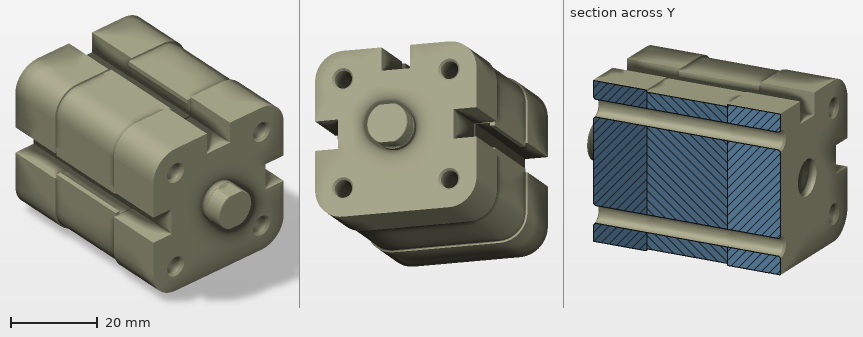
import cadquery as cq

TOTAL_LENGTH = 55.0
CAP_LENGTH = 14.0
BARREL_LENGTH = 20.95
CAP_WIDTH = 39.5
BARREL_WIDTH = 38.5

HOLE_PITCH = 26.0
HOLE_DIAMETER = 4.25
HOLE_CHAMFER = 0.5

CAP_SLOT_WIDTH = 7.0
CAP_SLOT_DEPTH = 5.55
GROOVE_WIDTH = 6.7
GROOVE_DEPTH = 4.75
GROOVE_MOUTH_WIDTH = 5.2
LIP_THICKNESS = 1.2
SLOT_ANGLES = (-90, 0, 90)

RECESS_DIAMETER = 9.0
RECESS_DEPTH = 2.0

ROD_DIAMETER = 10.0
TIP_DIAMETER = 9.85
COLLAR_LENGTH = 1.55
FLAT_DISTANCE = 9.0
FLAT_RUNOUT = 0.4
ROD_END_CHAMFER = 0.15

BARREL_START = -TOTAL_LENGTH / 2 + CAP_LENGTH
BARREL_END = BARREL_START + BARREL_LENGTH
REAR_FACE = BARREL_START - CAP_LENGTH
FRONT_FACE = BARREL_END + CAP_LENGTH
TIP_START = FRONT_FACE + COLLAR_LENGTH
ROD_END = REAR_FACE + TOTAL_LENGTH


def plane_at(x):
    """YZ plane at station x, with local axes along +Y and +Z."""
    return cq.Workplane("YZ", origin=(x, 0, 0))


def square_block(start, length, width):
    """Square block along X, its corners rounded about the screw hole centres."""
    corner_radius = (width - HOLE_PITCH) / 2
    block = plane_at(start).rect(width, width).extrude(length)
    return block.edges("|X").fillet(corner_radius)


def screw_holes(start, length):
    """Four cylinders that cut the corner screw holes."""
    centres = plane_at(start).rect(HOLE_PITCH, HOLE_PITCH, forConstruction=True).vertices()
    return centres.circle(HOLE_DIAMETER / 2).extrude(length)


def cut_slots(body, start, length, slot_width, top, bottom):
    """Cut a rectangular channel between two distances from the axis on each slotted side."""
    channel = (
        plane_at(start)
        .center(0, (top + bottom) / 2)
        .rect(slot_width, top - bottom)
        .extrude(length)
    )
    for angle in SLOT_ANGLES:
        body = body.cut(channel.rotate((0, 0, 0), (1, 0, 0), angle))
    return body


def make_cap(start, outer_face):
    """End cap with slots and with screw holes chamfered at its outer face."""
    cap = square_block(start, CAP_LENGTH, CAP_WIDTH).cut(screw_holes(start, CAP_LENGTH))
    hole_rims = cap.faces(outer_face).edges(cq.selectors.RadiusNthSelector(0))
    cap = hole_rims.chamfer(HOLE_CHAMFER)
    side = CAP_WIDTH / 2
    return cut_slots(cap, start, CAP_LENGTH, CAP_SLOT_WIDTH, side, side - CAP_SLOT_DEPTH)


def make_rear_cap():
    recess = plane_at(REAR_FACE).circle(RECESS_DIAMETER / 2).extrude(RECESS_DEPTH)
    return make_cap(REAR_FACE, "<X").cut(recess)


def make_front_cap():
    rod_bore = plane_at(BARREL_END).circle(ROD_DIAMETER / 2).extrude(CAP_LENGTH)
    return make_cap(BARREL_END, ">X").cut(rod_bore)


def make_barrel():
    """Barrel with undercut grooves whose mouths are narrowed by lips."""
    barrel = square_block(BARREL_START, BARREL_LENGTH, BARREL_WIDTH)
    barrel = barrel.cut(screw_holes(BARREL_START, BARREL_LENGTH))
    side = BARREL_WIDTH / 2
    lip_bottom = side - LIP_THICKNESS
    groove_floor = side - GROOVE_DEPTH
    barrel = cut_slots(barrel, BARREL_START, BARREL_LENGTH, GROOVE_MOUTH_WIDTH, side, lip_bottom)
    return cut_slots(barrel, BARREL_START, BARREL_LENGTH, GROOVE_WIDTH, lip_bottom, groove_floor)


def make_rod():
    """Rod that runs from the barrel through the front cap and ends in a flatted tip."""
    shank = plane_at(BARREL_END).circle(ROD_DIAMETER / 2).extrude(TIP_START - BARREL_END)
    tip = plane_at(TIP_START).circle(TIP_DIAMETER / 2).extrude(ROD_END - TIP_START)
    tip = tip.faces(">X").chamfer(ROD_END_CHAMFER)

    flat_height = FLAT_DISTANCE / 2
    flat_cutter = (
        cq.Workplane("XZ")
        .moveTo(TIP_START, ROD_DIAMETER / 2)
        .lineTo(TIP_START, flat_height + FLAT_RUNOUT)
        .lineTo(TIP_START + FLAT_RUNOUT, flat_height)
        .lineTo(ROD_END, flat_height)
        .lineTo(ROD_END, ROD_DIAMETER / 2)
        .close()
        .extrude(ROD_DIAMETER / 2, both=True)
    )
    tip = tip.cut(flat_cutter).cut(flat_cutter.mirror("XY"))
    return shank.union(tip)


rear_cap = make_rear_cap()
barrel = make_barrel()
front_cap = make_front_cap()
rod = make_rod()

result = cq.Compound.makeCompound([rear_cap.val(), barrel.val(), front_cap.val(), rod.val()])